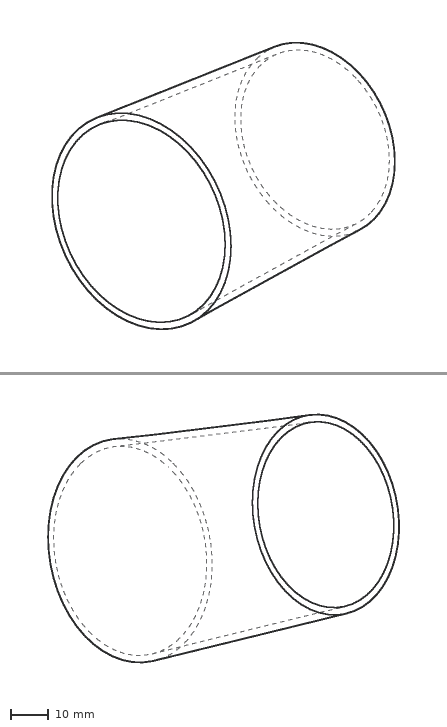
import cadquery as cq

length = 76.0
large_diameter = 60.3
small_diameter = 53.95
wall = 2.0

large_radius = large_diameter / 2
small_radius = small_diameter / 2

wall_section = (
    cq.Workplane("XY")
    .moveTo(large_radius - wall, 0)
    .lineTo(large_radius, 0)
    .lineTo(small_radius, length)
    .lineTo(small_radius - wall, length)
    .close()
)

result = wall_section.revolve(360, (0, 0, 0), (0, 1, 0))